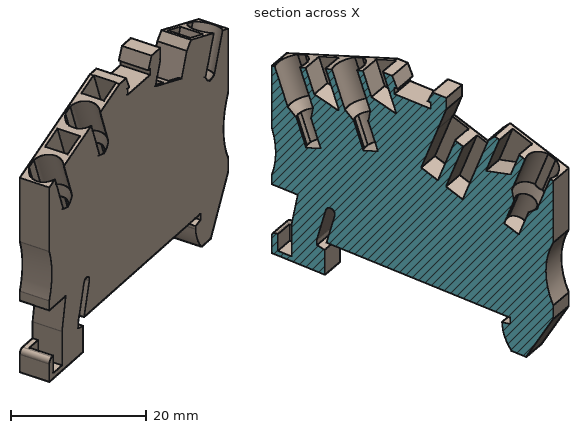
import cadquery as cq
import math

thickness = 5.15
length = 50.8
height = 41.5

roof_angle = 20.0
roof_slope = math.tan(math.radians(roof_angle))
roof_top_y = 19.9
shoulder_z = height - roof_top_y * roof_slope
far_roof_end_y = 40.25
chamfer_drop = 1.25

notch_start_y = 37.55
notch_end_y = 30.1
notch_z = 32.75
hook_outer_y = 31.55
hook_neck_z = 39.4

recess_center_y = 25.4
recess_half_floor = 3.2
recess_half_throat = 2.7
recess_half_mouth = 3.6
recess_floor_z = 38.35

hollow_top_z = 23.0
near_hollow_bottom_z = 14.35
near_hollow_depth = 0.7
far_hollow_bottom_z = 11.55
far_hollow_depth = 1.3

rail_z = 6.0
lip_root_z = 4.95
lip_tip_z = 4.6
far_foot_tip_y = 41.5
far_foot_root_y = 42.95
far_foot_sole_start_y = 43.25
far_foot_sole_end_y = 45.85
far_foot_tip_bottom_z = 4.1
far_foot_nose = (41.9, 2.3)
far_foot_side_z = 9.05
near_foot_tip_y = 9.6
near_foot_root_y = 8.25
near_foot_step_z = 4.0
near_foot_round = 0.8
arm_outer_y = 3.6
arm_bend_z = 6.95
arm_root_y = 4.65
arm_root_z = 12.6

slot_angle = 15.0
slot_corner_y = 9.85
slot_width = 1.6

foot_wall = 0.95
foot_lip_y = 1.15

entry_y = 2.85
entry_pitch = 10.3
near_entry_count = 2
entry_x = 2.85
entry_radius = 2.65
entry_wall = 0.3
entry_depth = 6.9
funnel_depth = 1.75
bore_radius = 1.8
bore_flat = 0.9
bore_depth = 5.1

pocket_y = 6.2
pocket_span_y = 3.5
pocket_x = 0.6
pocket_width = 3.9
pocket_depth = 4.45
pocket_floor_angle = 35.0

bridge_width = 4.15
bridge_rib = 1.65
bridge_depth = 9.15

overshoot = 1.5


def roof_z(y):
    """Height of the near roof plane at distance y from the near end."""
    return shoulder_z + y * roof_slope


def body():
    far_roof_z = roof_z(length - far_roof_end_y)
    notch_end_z = notch_z + (notch_start_y - notch_end_y) * roof_slope
    chamfer_z = far_roof_z - chamfer_drop
    chamfer_y = notch_start_y + (chamfer_z - notch_z) * roof_slope
    far_hollow_mid_z = (hollow_top_z + far_hollow_bottom_z) / 2
    near_hollow_mid_z = (hollow_top_z + near_hollow_bottom_z) / 2
    round_reach = near_foot_round * (1 - math.sqrt(0.5))
    return (
        cq.Workplane("YZ")
        .moveTo(0, shoulder_z)
        .lineTo(roof_top_y, height)
        .lineTo(recess_center_y - recess_half_mouth, height)
        .lineTo(recess_center_y - recess_half_throat, hook_neck_z)
        .lineTo(recess_center_y - recess_half_floor, hook_neck_z)
        .lineTo(recess_center_y - recess_half_floor, recess_floor_z)
        .lineTo(recess_center_y + recess_half_floor, recess_floor_z)
        .lineTo(recess_center_y + recess_half_floor, hook_neck_z)
        .lineTo(recess_center_y + recess_half_throat, hook_neck_z)
        .lineTo(recess_center_y + recess_half_mouth, height)
        .lineTo(hook_outer_y, height)
        .lineTo(hook_outer_y, hook_neck_z)
        .lineTo(notch_end_y, notch_end_z)
        .lineTo(notch_start_y, notch_z)
        .lineTo(chamfer_y, chamfer_z)
        .lineTo(far_roof_end_y, far_roof_z)
        .lineTo(length, shoulder_z)
        .lineTo(length, hollow_top_z)
        .threePointArc((length - far_hollow_depth, far_hollow_mid_z), (length, far_hollow_bottom_z))
        .lineTo(length, far_foot_side_z)
        .lineTo(far_foot_sole_end_y, 0)
        .lineTo(far_foot_sole_start_y, 0)
        .threePointArc(far_foot_nose, (far_foot_tip_y, far_foot_tip_bottom_z))
        .lineTo(far_foot_tip_y, lip_tip_z)
        .lineTo(far_foot_root_y, lip_root_z)
        .lineTo(far_foot_root_y, rail_z)
        .lineTo(near_foot_root_y, rail_z)
        .lineTo(near_foot_root_y, lip_root_z)
        .lineTo(near_foot_tip_y, lip_tip_z)
        .lineTo(near_foot_tip_y, 0)
        .lineTo(0, 0)
        .lineTo(0, near_foot_step_z - near_foot_round)
        .threePointArc((round_reach, near_foot_step_z - round_reach), (near_foot_round, near_foot_step_z))
        .lineTo(arm_outer_y, near_foot_step_z)
        .lineTo(arm_outer_y, arm_bend_z)
        .lineTo(arm_root_y, arm_root_z)
        .lineTo(0, arm_root_z)
        .lineTo(0, near_hollow_bottom_z)
        .threePointArc((near_hollow_depth, near_hollow_mid_z), (0, hollow_top_z))
        .close()
        .extrude(thickness)
    )


def arm_slot():
    """Round-ended slot leaning toward +Y, open at the rail face."""
    lean = math.radians(slot_angle)
    radius = slot_width / 2
    mouth_y = slot_corner_y - radius / math.cos(lean)
    end_rise = arm_root_z - radius - rail_z
    end = (mouth_y + end_rise * math.tan(lean), arm_root_z - radius)
    side = (radius * math.cos(lean), -radius * math.sin(lean))
    tip = (end[0] + radius * math.sin(lean), end[1] + radius * math.cos(lean))
    return (
        cq.Workplane("YZ")
        .moveTo(slot_corner_y, rail_z)
        .lineTo(end[0] + side[0], end[1] + side[1])
        .threePointArc(tip, (end[0] - side[0], end[1] - side[1]))
        .lineTo(near_foot_root_y, rail_z)
        .close()
        .extrude(thickness)
    )


def foot_recess():
    """Recess between the arm and the lip, leaving a wall on the -X side and a floor."""
    return cq.Workplane("XY").box(
        thickness - foot_wall, arm_outer_y - foot_lip_y, near_foot_step_z - foot_wall, centered=False
    ).translate((foot_wall, foot_lip_y, foot_wall))


def wire_entry(y):
    """Round entry square to the roof, narrowing through a funnel to a bore with two flats."""
    lean = math.radians(roof_angle)
    outward = (0, -math.sin(lean), math.cos(lean))
    mouth = cq.Workplane(cq.Plane((entry_x, y, roof_z(y)), (1, 0, 0), outward))
    barrel_end = mouth.workplane(offset=-entry_depth)
    funnel_end = barrel_end.workplane(offset=-funnel_depth)
    barrel = barrel_end.circle(entry_radius).extrude(entry_depth + overshoot)
    funnel = barrel_end.circle(entry_radius).workplane(offset=-funnel_depth).circle(bore_radius).loft()
    flat_distance = math.sqrt(bore_radius**2 - (bore_flat / 2) ** 2)
    flats = funnel_end.rect(2 * bore_radius, 2 * flat_distance).extrude(-bore_depth)
    bore = funnel_end.circle(bore_radius).extrude(-bore_depth).intersect(flats)
    inside_wall = cq.Workplane("XY").box(2 * thickness, length, 2 * height, centered=(False, True, True))
    inside_wall = inside_wall.translate((entry_wall, y, height / 2))
    return barrel.union(funnel).intersect(inside_wall).union(bore)


def release_pocket(y):
    """Pocket square to the roof, its floor deepening toward the middle of the part."""
    lean = math.radians(roof_angle)
    along_roof = (0, math.cos(lean), math.sin(lean))
    span = pocket_span_y / math.cos(lean)
    inner_depth = pocket_depth + span * math.tan(math.radians(pocket_floor_angle))
    return (
        cq.Workplane(cq.Plane((pocket_x, y, roof_z(y)), along_roof, (1, 0, 0)))
        .polyline([(0, overshoot), (0, -pocket_depth), (span, -inner_depth), (span, overshoot)])
        .close()
        .extrude(pocket_width)
    )


def terminal(offset):
    """Wire entry with its release pocket, moved along the near roof."""
    return wire_entry(entry_y + offset).union(release_pocket(pocket_y + offset))


def bridge_pockets():
    """Two deep pockets square to the notch floor, separated by a rib."""
    lean = math.radians(roof_angle)
    down_floor = (0, -math.cos(lean), math.sin(lean))
    floor_length = (notch_start_y - notch_end_y) / math.cos(lean)
    pocket_length = (floor_length - bridge_rib) / 2
    floor = cq.Plane((thickness / 2, notch_start_y, notch_z), down_floor, (0, math.sin(lean), math.cos(lean)))
    centers = [(pocket_length / 2, 0), (floor_length - pocket_length / 2, 0)]
    return cq.Workplane(floor).pushPoints(centers).rect(pocket_length, bridge_width).extrude(-bridge_depth)


result = body().cut(arm_slot()).cut(foot_recess()).cut(bridge_pockets())
for row in range(near_entry_count):
    result = result.cut(terminal(row * entry_pitch))
result = result.cut(terminal(0).mirror("XZ", (0, length / 2, 0)))